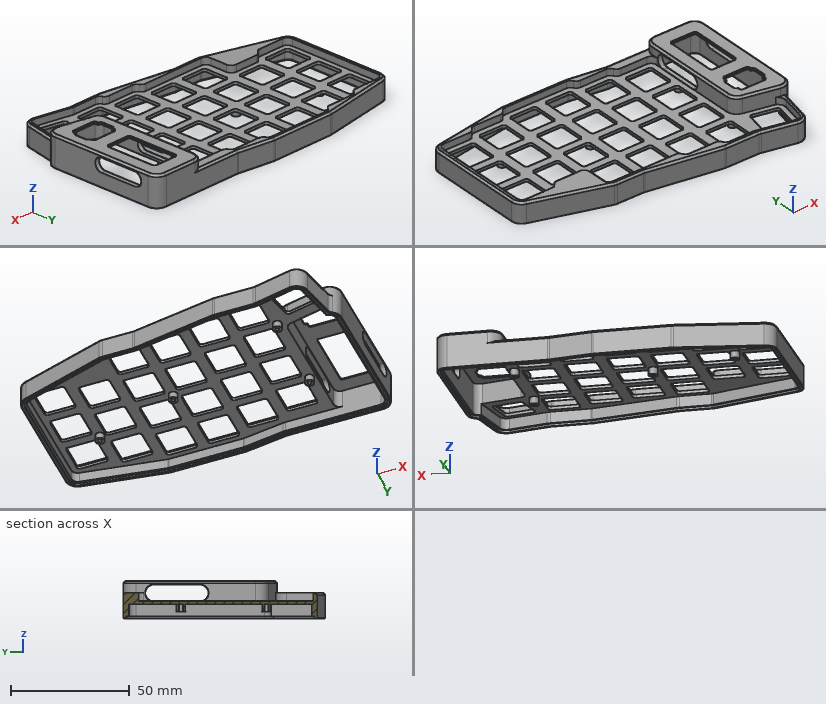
import cadquery as cq
import math

rim_top = 11.0
tower_top = 15.9
plate_top = 7.5
plate_thickness = 1.5
plate_bottom = plate_top - plate_thickness
roof_bottom = 14.9

width = 145.8
wall = 2.5
corner_radius = 5.4
top_chamfer = 1.0
base_chamfer = 0.5
tolerance = 0.0001
base_recess_depth = 1.0
base_lip = 1.5

key_hole = 14.0
key_radius = 1.3
first_column_x = 12.2
column_pitch = 95.2 / 5
row_pitch = 54.0 / 3
top_row_y = 76.1
column_drops = [6.1, 3.0, 0, 0, 3.0, 6.3]
column_rows = [3, 3, 4, 4, 4, 4]

thumb_x = 128.5
thumb_y = 13.0
thumb_turn = math.radians(12)

key_margin = 2.8
recess_reach = key_hole / 2 + key_margin
recess_radius = 2.9
thumb_recess_radius = 4.1
ledge_shift = 1.2

back_y = 87.9
tower_back_y = 85.1
left_back_y = 80.9
left_front_y = 23.5
middle_front_y = 10.4
right_front_y = 4.0
thumb_outer_right = 12.0
thumb_outer_front = 11.7

tower_left = 117.5
tower_front_reach = 9.6
tower_blend_radius = 2.9

display_x = 131.5
display_y = 62.7
display_width = 14.0
display_length = 28.0
display_radius = 1.3
knob_x = 131.5
knob_y = 35.0
knob_width = 14.0
knob_length = 12.8
knob_radius = 1.3
knob_relief_width = 16.6
knob_relief_length = 8.6
knob_relief_radius = 1.5
window_chamfer = 0.5
slot_bottom = 7.3
slot_top = 14.3
slot_front_y = 49.3
slot_back_y = 75.8

boss_diameter = 4.0
boss_bore = 1.6
boss_length = 3.0
boss_spots = [(0, 1), (2, 2), (5, 1), (5, 3)]


def column_x(column):
    return first_column_x + column * column_pitch


def key_y(column, row):
    return top_row_y - column_drops[column] - row * row_pitch


def thumb_point(right, back):
    """Point given in the turned axes of the thumb key."""
    x = thumb_x + right * math.cos(thumb_turn) + back * math.sin(thumb_turn)
    y = thumb_y - right * math.sin(thumb_turn) + back * math.cos(thumb_turn)
    return x, y


def thumb_line_at_y(back, y):
    """Point at height y on the thumb line that lies `back` behind the thumb key."""
    right = (thumb_y + back * math.cos(thumb_turn) - y) / math.sin(thumb_turn)
    return thumb_point(right, back)


def thumb_line_at_x(back, x):
    """Point at x on the thumb line that lies `back` behind the thumb key."""
    right = (x - thumb_x - back * math.sin(thumb_turn)) / math.cos(thumb_turn)
    return thumb_point(right, back)


def rounded_wire(corners):
    """Closed outline through (x, y, radius) corners, each rounded by its radius."""
    stretches = []
    for i, (x, y, radius) in enumerate(corners):
        corner = cq.Vector(x, y)
        before = (cq.Vector(*corners[i - 1][:2]) - corner).normalized()
        after = (cq.Vector(*corners[(i + 1) % len(corners)][:2]) - corner).normalized()
        half_angle = before.getAngle(after) / 2
        tangent = radius / math.tan(half_angle)
        inset = radius / math.sin(half_angle) - radius
        middle = corner + (before + after).normalized() * inset
        stretches.append((corner + before * tangent, middle, corner + after * tangent))
    place = stretches[-1][2]
    outline = cq.Workplane("XY").moveTo(place.x, place.y)
    for start, middle, end in stretches:
        if (start - place).Length > tolerance:
            outline = outline.lineTo(start.x, start.y)
        if (end - start).Length > tolerance:
            outline = outline.threePointArc((middle.x, middle.y), (end.x, end.y))
        place = end
    return outline.close()


def evenly_rounded(points, radius):
    return rounded_wire([(x, y, radius) for x, y in points])


def prism(outline, bottom, top):
    return outline.extrude(top - bottom).translate((0, 0, bottom))


def body_outline():
    hidden_x = (tower_left + width) / 2
    return evenly_rounded(
        [
            (0, left_back_y),
            (42.5, back_y),
            (77.1, back_y),
            (96.7, tower_back_y),
            (hidden_x, tower_back_y),
            (hidden_x, 36.5),
            thumb_point(thumb_outer_right, 17.5),
            thumb_point(thumb_outer_right, -thumb_outer_front),
            thumb_line_at_y(-thumb_outer_front, right_front_y),
            (96.4, right_front_y),
            (57.6, middle_front_y),
            (42.5, middle_front_y),
            (0, left_front_y),
        ],
        corner_radius,
    )


def tower_outline():
    return evenly_rounded(
        [
            (tower_left, tower_back_y),
            (width, tower_back_y),
            thumb_line_at_x(tower_front_reach, width),
            thumb_line_at_x(tower_front_reach, tower_left),
        ],
        corner_radius,
    )


def recess_step(x, y_before, y_after, heading):
    """Corners of a step in the recess edge made of two equal arcs that meet at x."""
    height = abs(y_after - y_before)
    slope = math.acos(1 - height / 2 / recess_radius)
    shift = heading * height / 2 / math.tan(slope)
    return [(x - shift, y_before, recess_radius), (x + shift, y_after, recess_radius)]


def recess_outline():
    def back(column):
        return key_y(column, 0) + recess_reach

    def front(column):
        return key_y(column, column_rows[column] - 1) - recess_reach

    def between(column):
        return column_x(column) + column_pitch / 2

    left = first_column_x - recess_reach
    ledge_x = between(1) - ledge_shift
    corners = [(left, back(0), recess_radius)]
    for column in (0, 1, 3, 4):
        corners += recess_step(between(column), back(column), back(column + 1), 1)
    corners += [
        (tower_left, back(5), recess_radius),
        (tower_left, display_y, 0),
        (display_x, display_y, 0),
        (*thumb_point(0, recess_reach), 0),
        (*thumb_point(recess_reach, recess_reach), thumb_recess_radius),
        (*thumb_point(recess_reach, -recess_reach), recess_radius),
        (*thumb_line_at_y(-recess_reach, front(5)), recess_radius),
    ]
    for column in (4, 3):
        corners += recess_step(between(column), front(column + 1), front(column), -1)
    corners += [
        (ledge_x, front(2), recess_radius),
        (ledge_x, front(1), recess_radius),
        *recess_step(between(0), front(1), front(0), -1),
        (left, front(0), recess_radius),
    ]
    return rounded_wire(corners)


def shell():
    body = prism(body_outline(), 0, rim_top).union(prism(tower_outline(), 0, rim_top))
    inner_corner = (*thumb_point(thumb_outer_right, tower_front_reach), rim_top / 2)
    body = body.edges("|Z").edges(cq.NearestToPointSelector(inner_corner)).fillet(tower_blend_radius)
    body = body.faces(">Z").chamfer(top_chamfer)
    body = body.faces("<Z").chamfer(base_chamfer)
    body = body.cut(prism(recess_outline(), plate_top, rim_top))
    tower = prism(tower_outline(), plate_bottom, tower_top).faces(">Z").chamfer(top_chamfer)
    body = body.union(tower)
    body = body.cut(prism(body_outline().offset2D(-wall), 0, plate_bottom))
    for outline in (body_outline(), tower_outline()):
        body = body.cut(prism(outline.offset2D(-base_lip), 0, base_recess_depth))
    return body.cut(prism(tower_outline().offset2D(-wall), 0, roof_bottom))


def rounded_block(size_x, size_y, radius):
    return cq.Workplane("XY").rect(size_x, size_y).extrude(rim_top).edges("|Z").fillet(radius)


def key_holes(part):
    hole = rounded_block(key_hole, key_hole, key_radius)
    for column, rows in enumerate(column_rows):
        for row in range(rows):
            part = part.cut(hole.translate((column_x(column), key_y(column, row), 0)))
    turned = hole.rotate((0, 0, 0), (0, 0, 1), -math.degrees(thumb_turn))
    return part.cut(turned.translate((thumb_x, thumb_y, 0)))


def window_cutter(x, y, size_x, size_y, radius):
    """Cutter for a roof opening whose top edge is chamfered out to the given size."""
    trim = 2 * window_chamfer
    throat = rounded_block(size_x - trim, size_y - trim, radius - window_chamfer)
    mouth = rounded_block(size_x, size_y, radius).faces("<Z").chamfer(window_chamfer)
    mouth = mouth.translate((x, y, tower_top - window_chamfer))
    return throat.translate((x, y, rim_top)).union(mouth)


def display_window(part):
    return part.cut(window_cutter(display_x, display_y, display_width, display_length, display_radius))


def knob_window(part):
    part = part.cut(window_cutter(knob_x, knob_y, knob_width, knob_length, knob_radius))
    return part.cut(
        window_cutter(knob_x, knob_y, knob_relief_width, knob_relief_length, knob_relief_radius)
    )


def side_slot(part):
    height = slot_top - slot_bottom
    middle_y = (slot_front_y + slot_back_y) / 2
    cutter = (
        cq.Workplane("YZ", origin=(tower_left, middle_y, slot_bottom + height / 2))
        .slot2D(slot_back_y - slot_front_y, height)
        .extrude(width)
    )
    return part.cut(cutter)


def screw_bosses(part):
    bottom = plate_bottom - boss_length
    for column, row in boss_spots:
        spot = (
            column_x(column) + column_pitch / 2,
            key_y(column, row) + row_pitch / 2,
            bottom,
        )
        boss = cq.Workplane("XY", origin=spot).circle(boss_diameter / 2).extrude(boss_length)
        bore = cq.Workplane("XY", origin=spot).circle(boss_bore / 2).extrude(boss_length)
        part = part.union(boss).cut(bore)
    return part


result = side_slot(knob_window(display_window(key_holes(screw_bosses(shell())))))